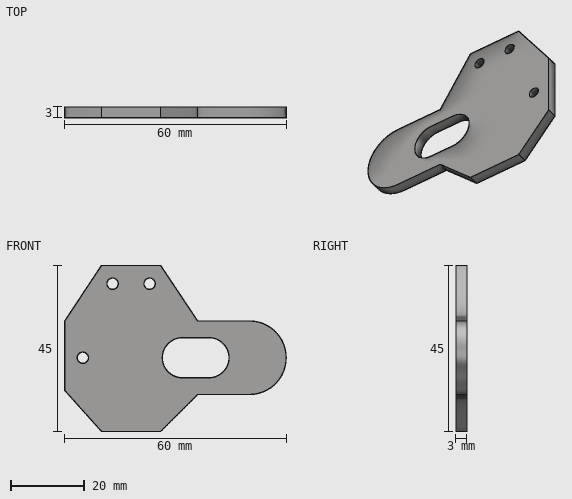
import cadquery as cq

length = 60.0
height = 45.0
thickness = 3.0

tail_width = 20.0
tail_radius = tail_width / 2
tail_start = 36.0
tail_center_x = length - tail_radius

top_z = 25.0
bottom_z = top_z - height
flat_start = 9.95
flat_end = 26.0
left_edge_bottom_z = -8.9

slot_length = 18.0
slot_width = 10.8
slot_center_x = 35.45

hole_diameter = 3.0
top_hole_inset = 5.0
top_hole_z = top_z - top_hole_inset
hole_centers = [(4.9, 0), (12.95, top_hole_z), (23.0, top_hole_z)]


def make_plate():
    """Faceted body with a round-ended tail, thickened toward +Y."""
    return (
        cq.Workplane("XZ")
        .moveTo(0, left_edge_bottom_z)
        .lineTo(0, tail_radius)
        .lineTo(flat_start, top_z)
        .lineTo(flat_end, top_z)
        .lineTo(tail_start, tail_radius)
        .lineTo(tail_center_x, tail_radius)
        .threePointArc((length, 0), (tail_center_x, -tail_radius))
        .lineTo(tail_start, -tail_radius)
        .lineTo(flat_end, bottom_z)
        .lineTo(flat_start, bottom_z)
        .close()
        .extrude(-thickness)
    )


def make_cutouts():
    """Through slot and round holes."""
    slot = (
        cq.Workplane("XZ")
        .center(slot_center_x, 0)
        .slot2D(slot_length, slot_width)
        .extrude(-thickness)
    )
    holes = (
        cq.Workplane("XZ")
        .pushPoints(hole_centers)
        .circle(hole_diameter / 2)
        .extrude(-thickness)
    )
    return slot.union(holes)


result = make_plate().cut(make_cutouts())